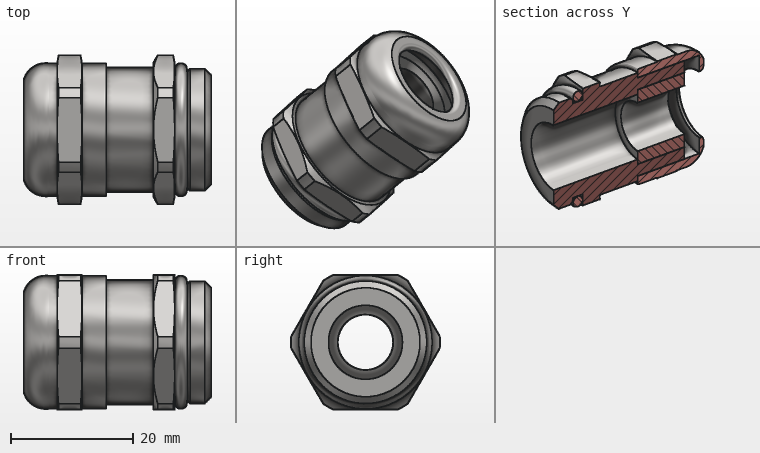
import cadquery as cq
import math

LENGTH = 30.65

HEX_FLATS = 22.0
HEX_CORNER_DIAMETER = 24.4
COLLAR_DIAMETER = 21.8
HEX_EDGE_BEVEL = 0.25

DOME_FACE_DIAMETER = 16.43
DOME_RADIUS = 3.85
DOME_END = 4.15
NUT_HEX_START = 5.45
NUT_HEX_END = 9.53
NUT_END = 13.52
NUT_END_ROUND = 0.3
LIP_MOUTH_DIAMETER = 13.9
LIP_DIAMETER = 12.3
LIP_DEPTH = 0.98

SLEEVE_DIAMETER = 18.33
SLEEVE_START = 3.9
SEAL_DIAMETER = 14.1
SEAL_BORE = 9.0

BARREL_DIAMETER = 20.4
BODY_BORE = 12.1
BODY_HEX_START = 21.15
BODY_HEX_END = 24.67
GROOVE_END = 26.7
BODY_HEX_CHAMFER_ANGLE = 30.0
THREAD_DIAMETER = 20.0
THREAD_RUNOUT_DIAMETER = 19.05
THREAD_TIP_DIAMETER = 17.8

RING_OUTER_DIAMETER = 21.8
RING_INNER_DIAMETER = 17.8

ring_thickness = (RING_OUTER_DIAMETER - RING_INNER_DIAMETER) / 2

seal_end = NUT_END


def cylinder(diameter, start, end):
    """Solid cylinder on the X axis between two stations."""
    return cq.Workplane("YZ", origin=(start, 0, 0)).circle(diameter / 2).extrude(end - start)


def turned(outline):
    """Revolve an outline, drawn as (x, radius) in the XY plane, about the X axis."""
    return outline.close().revolve(360, (0, 0, 0), (1, 0, 0))


def hexagon(start, end, front_bevel, back_bevel):
    """Hexagon with flats facing +Z and -Z, its corners turned down and both rims bevelled."""
    corner_to_corner = HEX_FLATS / math.cos(math.pi / 6)
    prism = cq.Workplane("YZ", origin=(start, 0, 0)).polygon(6, corner_to_corner).extrude(end - start)
    rim = COLLAR_DIAMETER / 2
    corner = HEX_CORNER_DIAMETER / 2
    envelope = turned(
        cq.Workplane("XY")
        .moveTo(start, 0)
        .lineTo(start, rim)
        .lineTo(start + front_bevel, corner)
        .lineTo(end - back_bevel, corner)
        .lineTo(end, rim)
        .lineTo(end, 0)
    )
    return prism.intersect(envelope)


def make_cap_nut():
    """Domed nut with a hexagon, a rounded cable mouth and a bore that takes the sleeve."""
    collar = COLLAR_DIAMETER / 2
    shell = turned(
        cq.Workplane("XY")
        .moveTo(0, 0)
        .lineTo(0, DOME_FACE_DIAMETER / 2)
        .radiusArc((DOME_END, collar), DOME_RADIUS)
        .lineTo(NUT_END - NUT_END_ROUND, collar)
        .radiusArc((NUT_END, collar - NUT_END_ROUND), NUT_END_ROUND)
        .lineTo(NUT_END, 0)
    )
    hex_grip = hexagon(NUT_HEX_START, NUT_HEX_END, HEX_EDGE_BEVEL, HEX_EDGE_BEVEL)
    lip_round = (LIP_MOUTH_DIAMETER - LIP_DIAMETER) / 2
    mouth = turned(
        cq.Workplane("XY")
        .moveTo(0, 0)
        .lineTo(0, LIP_MOUTH_DIAMETER / 2)
        .radiusArc((lip_round, LIP_DIAMETER / 2), -lip_round)
        .lineTo(LIP_DEPTH, LIP_DIAMETER / 2)
        .lineTo(LIP_DEPTH, 0)
    )
    bore = cylinder(SLEEVE_DIAMETER, LIP_DEPTH, NUT_END)
    return shell.union(hex_grip).cut(mouth).cut(bore)


def make_seal():
    """Plain sealing ring, flush with the front of the sleeve."""
    return cylinder(SEAL_DIAMETER, SLEEVE_START, seal_end).cut(cylinder(SEAL_BORE, SLEEVE_START, seal_end))


def make_thread():
    """Smooth thread envelope with 45-degree chamfers at both ends."""
    thread = THREAD_DIAMETER / 2
    runout = THREAD_RUNOUT_DIAMETER / 2
    tip = THREAD_TIP_DIAMETER / 2
    return turned(
        cq.Workplane("XY")
        .moveTo(GROOVE_END, 0)
        .lineTo(GROOVE_END, runout)
        .lineTo(GROOVE_END + thread - runout, thread)
        .lineTo(LENGTH - (thread - tip), thread)
        .lineTo(LENGTH, tip)
        .lineTo(LENGTH, 0)
    )


def make_body():
    """Sleeve, barrel, hexagon, O-ring groove and connecting thread in one piece."""
    sleeve = cylinder(SLEEVE_DIAMETER, SLEEVE_START, NUT_END)
    barrel = cylinder(BARREL_DIAMETER, NUT_END, BODY_HEX_START)
    rim_height = (HEX_CORNER_DIAMETER - COLLAR_DIAMETER) / 2
    front_bevel = rim_height * math.tan(math.radians(BODY_HEX_CHAMFER_ANGLE))
    hex_grip = hexagon(BODY_HEX_START, BODY_HEX_END, front_bevel, HEX_EDGE_BEVEL)
    groove_floor = cylinder(RING_INNER_DIAMETER, BODY_HEX_END, GROOVE_END)
    body = sleeve.union(barrel).union(hex_grip).union(groove_floor).union(make_thread())
    seal_seat = cylinder(SEAL_DIAMETER, SLEEVE_START, seal_end)
    return body.cut(seal_seat).cut(cylinder(BODY_BORE, seal_end, LENGTH))


def make_o_ring():
    """Round-section ring centred in its groove."""
    centre_radius = (RING_OUTER_DIAMETER + RING_INNER_DIAMETER) / 4
    section = cq.Workplane("XY").center((BODY_HEX_END + GROOVE_END) / 2, centre_radius)
    return section.circle(ring_thickness / 2).revolve(360, (0, -centre_radius, 0), (1, -centre_radius, 0))


cap_nut = make_cap_nut()
seal = make_seal()
body = make_body()
o_ring = make_o_ring()

result = cq.Compound.makeCompound([cap_nut.val(), seal.val(), body.val(), o_ring.val()])